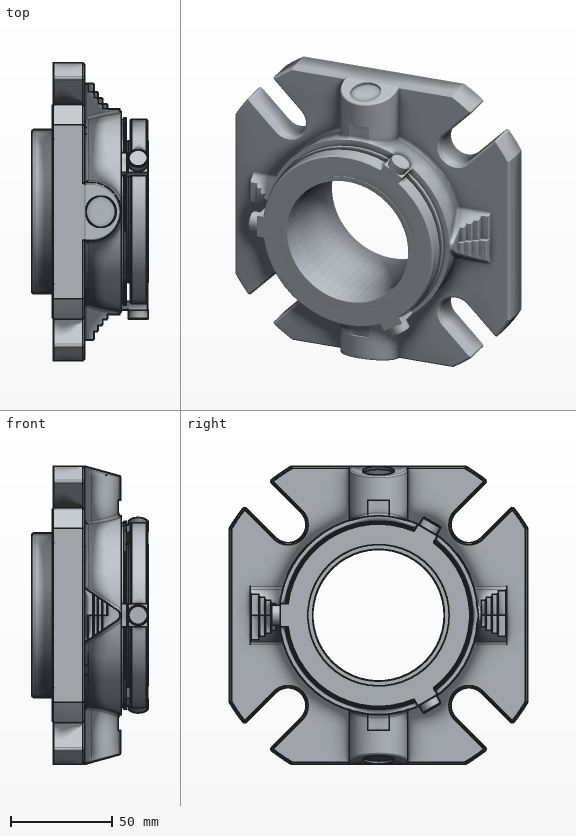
import cadquery as cq
import math

PLATE_BACK_X = 10.8
PLATE_FRONT_X = 26.2
HOUSING_END_X = 44.3
SLEEVE_END_X = 57.6

PLATE_SIDE = 147.3
CORNER_RADIUS = 85.3
SLOT_WIDTH = 17.7
SLOT_CENTRE_RADIUS = 63.2
SLOT_MOUTH_FILLET = 1.2
PLATE_EDGE_CHAMFER = 1.0

PILOT_DIAMETER = 105.0
PILOT_HEIGHT = 0.6
COLLAR_DIAMETER = 81.5
COLLAR_FILLET = 1.5

HOUSING_START_DIAMETER = 95.2
HOUSING_END_DIAMETER = 98.1

LIP_DIAMETER = 91.6
SEAL_RING_DIAMETER = 93.1
SEAL_RING_START_X = 45.5
SEAL_RING_END_X = 46.7
SEAL_RING_FILLET = 0.5

BORE_DIAMETER = 65.0
SLEEVE_DIAMETER = 69.8
CLAMP_HUB_DIAMETER = 70.3
CLAMP_HUB_START_X = 47.6
CLAMP_DIAMETER = 91.6
CLAMP_START_X = 48.6
CLAMP_END_X = 57.3
CLAMP_CHAMFER = 0.7

CLIP_COUNT = 3
CLIP_WIDTH = 11.2
CLIP_INNER_RADIUS = 44.2
CLIP_OUTER_RADIUS = 48.6
CLIP_GROOVE_X = 47.3
CLIP_GROOVE_WIDTH = 0.9
CLIP_GROOVE_DEPTH = 0.3
SCREW_HEAD_DIAMETER = 10.0
SCREW_HEAD_TOP_RADIUS = 53.2
SCREW_HEAD_CHAMFER = 0.5
SCREW_X = 52.6

LUG_ARC_X = 29.5
LUG_RADIUS = 14.5
LUG_FLAT_X = 42.9
LUG_FLAT_TOP_Z = 56.9
LUG_RIM_FILLET = 0.9
LUG_TOP_SLOPE = 15.5
PORT_DIAMETER = 15.5
PORT_DEPTH = 1.5
PORT_X = 34.3

RIB_TREADS = [(30.8, 63.5), (32.9, 59.2), (35.2, 56.3), (37.5, 53.3), (43.5, 50.8)]
RIB_LOWER_FIRST_END_X = 28.0
RIB_TREAD_FILLET = 0.6
RIB_BASE_HALF_WIDTH = 13.4
RIB_TIP_HALF_WIDTH = 1.8
RIB_TIP_FILLET = 2.2
RIB_ROOT_RADIUS = 41.2

ROOT_FILLET = 1.6
HOUSING_TRIM = 4.4

TOLERANCE = 0.07


def disc(diameter, start_x, end_x):
    """Cylinder around the shaft axis."""
    return cq.Workplane("YZ").workplane(offset=start_x).circle(diameter / 2).extrude(end_x - start_x)


def turned_about_axis(body, angle):
    """Copy of a body turned about the shaft axis."""
    return body.rotate((0, 0, 0), (1, 0, 0), angle)


def mounting_plate():
    """Square plate with rounded corners and an open bolt slot at each corner."""
    thickness = PLATE_FRONT_X - PLATE_BACK_X
    base = cq.Workplane("YZ").workplane(offset=PLATE_BACK_X)
    plate = base.rect(PLATE_SIDE, PLATE_SIDE).extrude(thickness)
    plate = plate.intersect(disc(2 * CORNER_RADIUS, PLATE_BACK_X, PLATE_FRONT_X))
    slot = (
        base.center(SLOT_CENTRE_RADIUS + PLATE_SIDE / 2, 0)
        .slot2D(PLATE_SIDE + SLOT_WIDTH, SLOT_WIDTH)
        .extrude(thickness)
    )
    for corner in range(4):
        plate = plate.cut(turned_about_axis(slot, 45 + 90 * corner))
    mouth_half_angle = math.degrees(math.asin(SLOT_WIDTH / 2 / CORNER_RADIUS))
    mouth_edges = []
    for corner in range(4):
        for side in (-1, 1):
            angle = math.radians(45 + 90 * corner + side * mouth_half_angle)
            mouth = (
                PLATE_BACK_X + thickness / 2,
                CORNER_RADIUS * math.cos(angle),
                CORNER_RADIUS * math.sin(angle),
            )
            mouth_edges += plate.edges(cq.selectors.NearestToPointSelector(mouth)).vals()
    plate = plate.newObject(mouth_edges).fillet(SLOT_MOUTH_FILLET)
    return plate.faces(">X").edges().chamfer(PLATE_EDGE_CHAMFER)


def housing_radius(x):
    """Radius of the tapered housing wall at a given X."""
    start, end = HOUSING_START_DIAMETER / 2, HOUSING_END_DIAMETER / 2
    return start + (end - start) * (x - PLATE_FRONT_X) / (HOUSING_END_X - PLATE_FRONT_X)


def long_housing():
    """Housing cone, left overlong so that the root blends can run off its end."""
    return (
        cq.Workplane("YZ")
        .workplane(offset=PLATE_FRONT_X)
        .circle(housing_radius(PLATE_FRONT_X))
        .workplane(offset=HOUSING_END_X + HOUSING_TRIM - PLATE_FRONT_X)
        .circle(housing_radius(HOUSING_END_X + HOUSING_TRIM))
        .loft()
    )


def lug_top_z(x):
    """Height of the sloping lug top at a given X."""
    return PLATE_SIDE / 2 - (x - PLATE_FRONT_X) * math.tan(math.radians(LUG_TOP_SLOPE))


def port_lug():
    """Round-nosed lug toward +Z with a sloping, rounded-off top and a flat low on the nose."""
    start_x = PLATE_FRONT_X - PLATE_EDGE_CHAMFER
    lug = (
        cq.Workplane("XY")
        .moveTo(start_x, -LUG_RADIUS)
        .lineTo(LUG_ARC_X, -LUG_RADIUS)
        .threePointArc((LUG_ARC_X + LUG_RADIUS, 0), (LUG_ARC_X, LUG_RADIUS))
        .lineTo(start_x, LUG_RADIUS)
        .close()
        .extrude(PLATE_SIDE / 2)
    )
    drop = PLATE_SIDE / 2 - lug_top_z(HOUSING_END_X)
    waste = (
        cq.Workplane("XZ")
        .moveTo(PLATE_FRONT_X, PLATE_SIDE / 2)
        .line(HOUSING_END_X - PLATE_FRONT_X, 0)
        .line(0, -drop)
        .close()
        .extrude(PLATE_SIDE, both=True)
    )
    lug = lug.cut(waste)
    rim = cq.selectors.NearestToPointSelector((LUG_ARC_X + LUG_RADIUS, 0, PLATE_SIDE / 2))
    lug = lug.edges(rim).fillet(LUG_RIM_FILLET)
    nose = cq.Workplane("XY").box(LUG_RADIUS, PLATE_SIDE, LUG_FLAT_TOP_Z, centered=(False, True, False))
    return lug.cut(nose.translate((LUG_FLAT_X, 0, 0)))


def port_recess():
    """Shallow round recess, square to the sloping top of the lug."""
    recess = cq.Workplane("XY").circle(PORT_DIAMETER / 2).extrude(PORT_DEPTH, both=True)
    recess = recess.rotate((0, 0, 0), (0, 1, 0), LUG_TOP_SLOPE)
    return recess.translate((PORT_X, 0, lug_top_z(PORT_X)))


def stair(treads):
    """Sketch of a flight of round-nosed treads, stepping down toward the housing end."""
    outline = cq.Workplane("XY").moveTo(PLATE_FRONT_X, -RIB_ROOT_RADIUS)
    x = PLATE_FRONT_X
    for end_x, radius in treads[:-1]:
        outline = outline.lineTo(x, -radius).lineTo(end_x - RIB_TREAD_FILLET, -radius)
        outline = outline.radiusArc((end_x, -radius + RIB_TREAD_FILLET), RIB_TREAD_FILLET)
        x = end_x
    tip_x, tip_radius = treads[-1]
    outline = outline.lineTo(x, -tip_radius).lineTo(tip_x, -tip_radius)
    return outline.lineTo(tip_x, -RIB_ROOT_RADIUS).close()


def stepped_rib():
    """Wedge-shaped rib toward -Y whose lower half steps down one tread earlier than its upper half."""
    tip_x = RIB_TREADS[-1][0]
    wedge = (
        cq.Workplane("XZ")
        .polyline([
            (PLATE_FRONT_X, -RIB_BASE_HALF_WIDTH),
            (tip_x, -RIB_TIP_HALF_WIDTH),
            (tip_x, RIB_TIP_HALF_WIDTH),
            (PLATE_FRONT_X, RIB_BASE_HALF_WIDTH),
        ])
        .close()
        .extrude(PLATE_SIDE / 2)
        .edges("|Y and >X").fillet(RIB_TIP_FILLET)
    )
    tread_ends = [end_x for end_x, _ in RIB_TREADS]
    tread_radii = [radius for _, radius in RIB_TREADS]
    lower_ends = [RIB_LOWER_FIRST_END_X] + tread_ends[:-2] + [tip_x]
    lower_treads = list(zip(lower_ends, tread_radii))
    upper = stair(RIB_TREADS).extrude(RIB_BASE_HALF_WIDTH)
    lower = stair(lower_treads).extrude(-RIB_BASE_HALF_WIDTH)
    return upper.union(lower).intersect(wedge)


def rear_collar():
    """Seal collar standing on the raised pilot face behind the plate."""
    collar = disc(COLLAR_DIAMETER, 0, PLATE_BACK_X).faces("<X").edges().fillet(COLLAR_FILLET)
    return collar.union(disc(PILOT_DIAMETER, PLATE_BACK_X - PILOT_HEIGHT, PLATE_BACK_X))


def housing_lip():
    """Lip on the housing end, with a rounded seal ring over its outer part."""
    seal_ring = disc(SEAL_RING_DIAMETER, SEAL_RING_START_X, SEAL_RING_END_X).edges().fillet(SEAL_RING_FILLET)
    return disc(LIP_DIAMETER, HOUSING_END_X, SEAL_RING_START_X).union(seal_ring)


def sleeve_and_clamp():
    """Shaft sleeve carrying the clamp ring and its short hub."""
    sleeve = disc(SLEEVE_DIAMETER, HOUSING_END_X, SLEEVE_END_X)
    hub = disc(CLAMP_HUB_DIAMETER, CLAMP_HUB_START_X, CLAMP_END_X)
    clamp = disc(CLAMP_DIAMETER, CLAMP_START_X, CLAMP_END_X).edges().chamfer(CLAMP_CHAMFER)
    return sleeve.union(hub).union(clamp)


def setting_clip():
    """Grooved tab bridging the lip and the clamp ring, with a round screw head toward -Y."""
    tab = (
        cq.Workplane("XY")
        .box(
            CLAMP_END_X - HOUSING_END_X,
            CLIP_OUTER_RADIUS - CLIP_INNER_RADIUS,
            CLIP_WIDTH,
            centered=(False, False, True),
        )
        .translate((HOUSING_END_X, -CLIP_OUTER_RADIUS, 0))
    )
    groove = cq.Workplane("XY").box(CLIP_GROOVE_WIDTH, 2 * CLIP_GROOVE_DEPTH, CLIP_WIDTH)
    tab = tab.cut(groove.translate((CLIP_GROOVE_X, -CLIP_OUTER_RADIUS, 0)))
    head = (
        cq.Workplane("XZ").workplane(offset=CLIP_OUTER_RADIUS)
        .center(SCREW_X, 0).circle(SCREW_HEAD_DIAMETER / 2)
        .extrude(SCREW_HEAD_TOP_RADIUS - CLIP_OUTER_RADIUS)
        .faces("<Y").chamfer(SCREW_HEAD_CHAMFER)
    )
    return tab.union(head)


def is_on_housing_wall(points):
    """True for points on the housing wall, short of its overlong end."""
    radii = [math.hypot(p.y, p.z) for p in points]
    in_radius = min(radii) > HOUSING_START_DIAMETER / 2 - TOLERANCE and max(radii) < HOUSING_END_DIAMETER / 2
    in_length = all(PLATE_FRONT_X - TOLERANCE < p.x < HOUSING_END_X - TOLERANCE for p in points)
    return in_radius and in_length


def is_rib_foot(points):
    """True for points along the joint between a rib flank and the plate."""
    return all(
        abs(p.x - PLATE_FRONT_X) < TOLERANCE
        and abs(abs(p.z) - RIB_BASE_HALF_WIDTH) < TOLERANCE
        and abs(p.y) > RIB_ROOT_RADIUS
        for p in points
    )


def root_edges(body):
    """Inside corners around the housing, the lugs and the ribs."""
    edges = []
    for edge in body.edges().vals():
        points = [edge.positionAt(t) for t in (0, 0.5, 1)]
        if is_on_housing_wall(points) or is_rib_foot(points):
            edges.append(edge)
    return edges


body = mounting_plate().union(long_housing())
for angle in (0, 180):
    body = body.union(turned_about_axis(port_lug(), angle)).union(turned_about_axis(stepped_rib(), angle))
body = body.newObject(root_edges(body)).fillet(ROOT_FILLET)
body = body.cut(disc(PLATE_SIDE, HOUSING_END_X, HOUSING_END_X + HOUSING_TRIM))

result = body.union(rear_collar()).union(housing_lip()).union(sleeve_and_clamp())
for angle in (0, 180):
    result = result.cut(turned_about_axis(port_recess(), angle))
for index in range(CLIP_COUNT):
    result = result.union(turned_about_axis(setting_clip(), 360 / CLIP_COUNT * index))
result = result.cut(disc(BORE_DIAMETER, 0, SLEEVE_END_X))